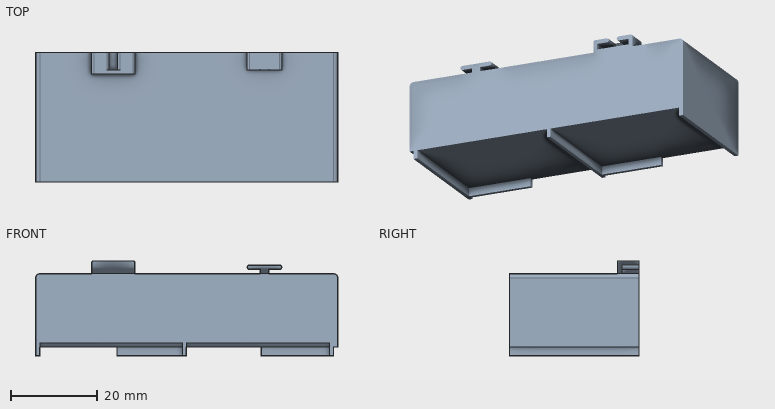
import cadquery as cq

NEAR_HALF = 0.499

LENGTH = 70.0
DEPTH = 30.0
FOOT_HEIGHT = 2.0
BODY_TOP = 19.0
BODY_EDGE_RADIUS = 1.0
FRONT_BEVEL = 1.0

WALL = 1.0
LEFT_RIB = (0.0, WALL)
MIDDLE_RIB_START = 34.0
MIDDLE_RIB_WIDTH = 0.9
MIDDLE_RIB = (MIDDLE_RIB_START, MIDDLE_RIB_START + MIDDLE_RIB_WIDTH)
RIGHT_RIB = (LENGTH - 2 * WALL, LENGTH - WALL)

LIP_SETBACK = 1.0
LIP_THICKNESS = 1.0
LEFT_LIP_START = 18.8
RIGHT_LIP_START = 52.2

SOCKET_START = 13.0
SOCKET_WIDTH = 10.0
SOCKET_DEPTH = 5.0
SOCKET_HEIGHT = 3.0
SOCKET_EDGE_RADIUS = 0.5
SLOT_DEPTH = 4.0
SLOT_NECK_WIDTH = 2.0
SLOT_LIP_THICKNESS = 1.0
SLOT_LIP_RADIUS = NEAR_HALF * SLOT_LIP_THICKNESS
SLOT_CAVITY_WIDTH = 8.0
SLOT_CAVITY_HEIGHT = 1.35

TAB_CENTER = 53.0
TAB_WIDTH = 8.0
TAB_DEPTH = 4.0
TAB_THICKNESS = 1.0
STEM_WIDTH = 2.0
STEM_HEIGHT = 1.0
TAB_EDGE_RADIUS = NEAR_HALF * TAB_THICKNESS


def block(x_span, y_span, z_span):
    """Box between the given (start, end) limits on each axis."""
    size = [end - start for start, end in (x_span, y_span, z_span)]
    corner = (x_span[0], y_span[0], z_span[0])
    return cq.Workplane("XY").box(*size, centered=False).translate(corner)


def make_body():
    """Solid housing with rounded left and right top edges."""
    body = block((0, LENGTH), (0, DEPTH), (FOOT_HEIGHT, BODY_TOP))
    return body.edges("|Y and >Z").fillet(BODY_EDGE_RADIUS)


def make_front_bevel(x_span):
    """Wedge that bevels the lower front edge between two ribs."""
    return (
        cq.Workplane("YZ", origin=(x_span[0], 0, FOOT_HEIGHT))
        .polyline([(0, 0), (FRONT_BEVEL, 0), (0, FRONT_BEVEL)])
        .close()
        .extrude(x_span[1] - x_span[0])
    )


def make_rib(x_span):
    """Full-depth rib under the body."""
    return block(x_span, (0, DEPTH), (0, FOOT_HEIGHT))


def make_lip(x_span):
    """Thin lip under the body, set back from the front face."""
    return block(x_span, (LIP_SETBACK, LIP_SETBACK + LIP_THICKNESS), (0, FOOT_HEIGHT))


def round_lips(socket, center, top, lip_bottom):
    """Round the upper and lower edges of both lips that flank the slot neck."""
    margin = SLOT_LIP_RADIUS / 2
    neck_edges = cq.selectors.BoxSelector(
        (center - SLOT_NECK_WIDTH / 2 - margin, DEPTH - SLOT_DEPTH, lip_bottom - margin),
        (center + SLOT_NECK_WIDTH / 2 + margin, DEPTH, top + margin),
    )
    return socket.edges("|Y").edges(neck_edges).fillet(SLOT_LIP_RADIUS)


def make_socket():
    """Block with a T-slot that opens to the rear, sized to take the cap of a tab."""
    center = SOCKET_START + SOCKET_WIDTH / 2
    top = BODY_TOP + SOCKET_HEIGHT
    socket = block(
        (SOCKET_START, SOCKET_START + SOCKET_WIDTH),
        (DEPTH - SOCKET_DEPTH, DEPTH),
        (BODY_TOP, top),
    )
    socket = socket.edges("|Y and >Z").fillet(SOCKET_EDGE_RADIUS)
    slot_span = (DEPTH - SLOT_DEPTH, DEPTH)
    lip_bottom = top - SLOT_LIP_THICKNESS
    cavity = block(
        (center - SLOT_CAVITY_WIDTH / 2, center + SLOT_CAVITY_WIDTH / 2),
        slot_span,
        (lip_bottom - SLOT_CAVITY_HEIGHT, lip_bottom),
    )
    neck = block(
        (center - SLOT_NECK_WIDTH / 2, center + SLOT_NECK_WIDTH / 2),
        slot_span,
        (lip_bottom, top),
    )
    socket = socket.cut(cavity).cut(neck)
    return round_lips(socket, center, top, lip_bottom)


def make_tab():
    """Flat cap with rounded ends on a narrow stem."""
    rear = (DEPTH - TAB_DEPTH, DEPTH)
    cap_bottom = BODY_TOP + STEM_HEIGHT
    cap = block(
        (TAB_CENTER - TAB_WIDTH / 2, TAB_CENTER + TAB_WIDTH / 2),
        rear,
        (cap_bottom, cap_bottom + TAB_THICKNESS),
    )
    cap = cap.edges("|Y").fillet(TAB_EDGE_RADIUS)
    stem = block(
        (TAB_CENTER - STEM_WIDTH / 2, TAB_CENTER + STEM_WIDTH / 2),
        rear,
        (BODY_TOP, cap_bottom),
    )
    return cap.union(stem)


result = make_body()
for bay in ((LEFT_RIB[1], MIDDLE_RIB[0]), (MIDDLE_RIB[1], RIGHT_RIB[0])):
    result = result.cut(make_front_bevel(bay))
for rib in (LEFT_RIB, MIDDLE_RIB, RIGHT_RIB):
    result = result.union(make_rib(rib))
for lip in ((LEFT_LIP_START, MIDDLE_RIB[0]), (RIGHT_LIP_START, RIGHT_RIB[0])):
    result = result.union(make_lip(lip))
result = result.union(make_socket()).union(make_tab())